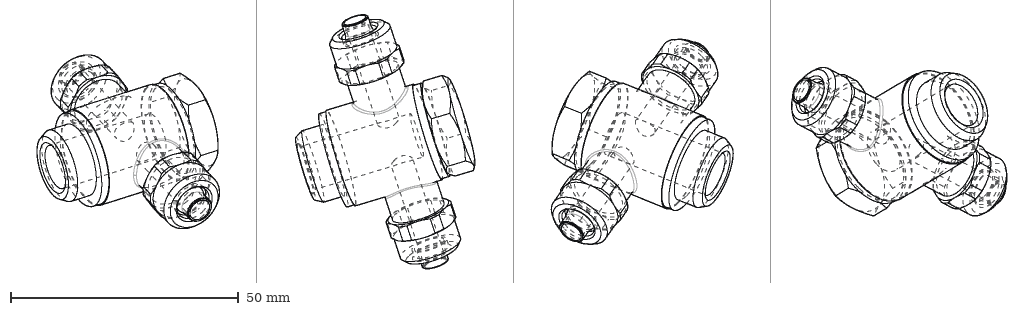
import cadquery as cq
import math


body_dia = 22.0
body_rear_y = 7.5
body_front_y = -12.5
washer_dia = 21.5
washer_thickness = 1.75

head_across_flats = 20.0
head_thickness = 6.0

spigot_dia = 16.45
spigot_length = 6.45
spigot_chamfer_radial = 1.0
spigot_chamfer_length = 1.75
bore_dia = 10.0
bore_chamfer = 0.8
bore_end_y = bore_dia / 2

bolt_rear_y = body_rear_y + washer_thickness
bolt_shoulder_y = body_front_y - washer_thickness
bolt_tip_y = bolt_shoulder_y - spigot_length

port_reach = 29.5
pipe_dia = 12.0
pipe_fillet = 0.5
passage_dia = 4.95

nut_dia = 14.0
nut_corner_dia = 15.0
nut_outer_x = port_reach - 2.6
nut_chamfer_radial = 1.0
nut_chamfer_length = 1.1
hex_outer_x = 20.9
hex_inner_x = 16.9
nut_mouth_dia = 9.0
nut_bore_dia = 8.0
nut_bore_depth = 2.0

stem_dia = 6.0
stem_root_dia = 6.9
stem_tip_chamfer = 0.2
stem_straight = 2.65

corner_bevel_angle = math.radians(30)

corner_ratio = 1 / math.cos(math.pi / 6)


def revolve_profile(points, axis):
    """Solid of revolution of (radius, position) points about an axis through the origin."""
    if axis == "Y":
        return cq.Workplane("XY").polyline(points).close().revolve(360, (0, 0, 0), (0, 1, 0))
    swapped = [(position, radius) for radius, position in points]
    return cq.Workplane("XY").polyline(swapped).close().revolve(360, (0, 0, 0), (1, 0, 0))


def bevelled_hexagon(across_flats, corner_dia, start, end, axis):
    """Hexagonal prism along Y or X, its corners turned to corner_dia and bevelled at both ends."""
    flat_radius = across_flats / 2
    corner_radius = corner_dia / 2
    drop = (corner_radius - flat_radius) * math.tan(corner_bevel_angle)
    envelope = revolve_profile(
        [
            (0, start),
            (flat_radius, start),
            (corner_radius, start + drop),
            (corner_radius, end - drop),
            (flat_radius, end),
            (0, end),
        ],
        axis,
    )
    if axis == "Y":
        base = cq.Workplane("XZ", origin=(0, end, 0))
    else:
        base = cq.Workplane("YZ", origin=(start, 0, 0))
    prism = base.polygon(6, across_flats * corner_ratio).extrude(end - start)
    return prism.intersect(envelope)


def cylinder_x(diameter, start, end):
    """Round bar along the port axis."""
    return cq.Workplane("YZ", origin=(start, 0, 0)).circle(diameter / 2).extrude(end - start)


def make_body():
    """Sleeve joined to both pipes, with a fillet where they meet."""
    sleeve_length = body_rear_y - body_front_y
    sleeve = cq.Workplane("XZ", origin=(0, body_rear_y, 0)).circle(body_dia / 2).extrude(sleeve_length)
    pipes = cylinder_x(pipe_dia, -hex_inner_x, hex_inner_x)
    return sleeve.union(pipes).edges("%BSPLINE").fillet(pipe_fillet)


def make_bolt():
    """Washers and front spigot as one turned shape, plus the hexagon head."""
    spigot_radius = spigot_dia / 2
    turned = revolve_profile(
        [
            (0, bolt_rear_y),
            (washer_dia / 2, bolt_rear_y),
            (washer_dia / 2, bolt_shoulder_y),
            (spigot_radius, bolt_shoulder_y),
            (spigot_radius, bolt_tip_y + spigot_chamfer_length),
            (spigot_radius - spigot_chamfer_radial, bolt_tip_y),
            (0, bolt_tip_y),
        ],
        "Y",
    )
    head = bevelled_hexagon(
        head_across_flats,
        head_across_flats * corner_ratio,
        bolt_rear_y,
        bolt_rear_y + head_thickness,
        "Y",
    )
    return turned.union(head)


def make_bolt_bore():
    """Blind bore entering the spigot, chamfered at its mouth and reaching past the port axis."""
    bore_radius = bore_dia / 2
    return revolve_profile(
        [
            (0, bolt_tip_y),
            (bore_radius + bore_chamfer, bolt_tip_y),
            (bore_radius, bolt_tip_y + bore_chamfer),
            (bore_radius, bore_end_y),
            (0, bore_end_y),
        ],
        "Y",
    )


def make_port():
    """Union nut and hose stem of the +X port."""
    nut_radius = nut_dia / 2
    mouth_bevel = (nut_mouth_dia - nut_bore_dia) / 2
    floor_x = nut_outer_x - nut_bore_depth
    shell = revolve_profile(
        [
            (0, hex_inner_x),
            (nut_radius, hex_inner_x),
            (nut_radius, nut_outer_x - nut_chamfer_length),
            (nut_radius - nut_chamfer_radial, nut_outer_x),
            (nut_mouth_dia / 2, nut_outer_x),
            (nut_bore_dia / 2, nut_outer_x - mouth_bevel),
            (nut_bore_dia / 2, floor_x),
            (stem_root_dia / 2, floor_x),
            (stem_dia / 2, port_reach - stem_straight),
            (stem_dia / 2, port_reach - stem_tip_chamfer),
            (stem_dia / 2 - stem_tip_chamfer, port_reach),
            (0, port_reach),
        ],
        "X",
    )
    hexagon = bevelled_hexagon(nut_dia, nut_corner_dia, hex_inner_x, hex_outer_x, "X")
    return shell.union(hexagon)


port = make_port()
solid = make_body().union(make_bolt()).union(port).union(port.mirror("YZ"))
result = solid.cut(make_bolt_bore()).cut(cylinder_x(passage_dia, -port_reach, port_reach))